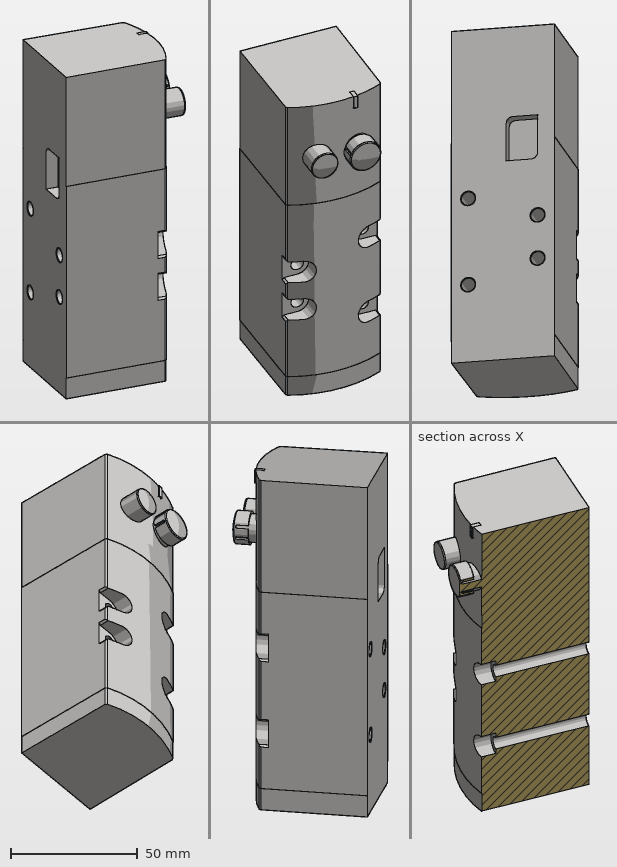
import cadquery as cq
import math

LENGTH = 138.0
WIDTH = 42.0
HALF_WIDTH = WIDTH / 2
CREST_Y = 48.0

SIDE_DRAFT = 0.33
SHOULDER_HALF_WIDTH = HALF_WIDTH - SIDE_DRAFT
SHOULDER_Y = 42.9
BEVEL_WIDTH = 0.5
BEVEL_HEIGHT = 0.8

END_INSET = 0.08
BOTTOM_JOINT_Z = 9.0
TOP_JOINT_Z = 91.2

HOLE_DIAMETER = 5.5
HOLE_RIM_CHAMFER = 0.3
HOLE_X = 14.1
HOLE_CENTRE_Z = 50.1
LEFT_HOLE_OFFSET = 18.0
RIGHT_HOLE_OFFSET = 9.0

NOTCH_FLOOR_Y = 39.9
NOTCH_WIDTH = 10.0
NOTCH_MOUTH_CHAMFER = 0.8

POCKET_LEFT = 1.4
POCKET_RIGHT = 14.1
POCKET_BOTTOM = 82.5
POCKET_TOP = 100.7
POCKET_DEPTH = 5.1
POCKET_RADIUS = 2.8

FITTING_X = 8.7
FITTING_Z = 113.6
FITTING_ROOT_Y = 41.4
STEM_RADIUS = 5.73

CAP_RADIUS = 6.69
CAP_BACK_Y = 49.1
CAP_EDGE_Y = 55.2
CAP_TOP_Y = 56.2
CAP_RIM_CHAMFER = 0.4

BUTTON_EDGE_Y = 54.1
BUTTON_RIM_Y = 54.6
BUTTON_RIM_RADIUS = 5.5
BUTTON_TOP_Y = 55.5

GROOVE_WIDTH = 1.2
GROOVE_END_Y = 54.2
GROOVE_ANGLE = 21.0
GROOVE_FLOOR_RADIUS = STEM_RADIUS - 0.3

INDICATOR_X = -7.7
INDICATOR_WIDTH = 1.8
INDICATOR_BOTTOM_Y = 43.9
INDICATOR_TOP_Y = 47.7
INDICATOR_LENGTH = 5.5


def block_section(inset, bottom_z, top_z):
    """One length of the crowned block, moved in by inset at the sides and crown."""
    base = HALF_WIDTH - inset
    side = SHOULDER_HALF_WIDTH - inset
    crown_side = side - BEVEL_WIDTH
    shoulder_y = SHOULDER_Y - inset
    crown_y = shoulder_y + BEVEL_HEIGHT
    return (
        cq.Workplane("XY", origin=(0, 0, bottom_z))
        .moveTo(-base, 0)
        .lineTo(base, 0)
        .lineTo(side, shoulder_y)
        .lineTo(crown_side, crown_y)
        .threePointArc((0, CREST_Y - inset), (-crown_side, crown_y))
        .lineTo(-side, shoulder_y)
        .close()
        .extrude(top_z - bottom_z)
    )


def along_y(x, z, radius, start_y, end_y):
    """Cylinder with its axis along Y."""
    axis = cq.Vector(0, 1, 0)
    return cq.Workplane(cq.Solid.makeCylinder(radius, end_y - start_y, cq.Vector(x, start_y, z), axis))


def screw_notch(side, z):
    """Round-ended slot from a hole out through the wall on the given side, chamfered at its mouth."""
    half_slot = NOTCH_WIDTH / 2
    half_mouth = half_slot + NOTCH_MOUTH_CHAMFER
    chamfer_x = SHOULDER_HALF_WIDTH - NOTCH_MOUTH_CHAMFER
    seat = along_y(side * HOLE_X, z, half_slot, NOTCH_FLOOR_Y, CREST_Y)
    mouth = (
        cq.Workplane("XZ", origin=(0, CREST_Y, 0))
        .polyline([
            (side * HOLE_X, z - half_slot),
            (side * chamfer_x, z - half_slot),
            (side * SHOULDER_HALF_WIDTH, z - half_mouth),
            (side * HALF_WIDTH, z - half_mouth),
            (side * HALF_WIDTH, z + half_mouth),
            (side * SHOULDER_HALF_WIDTH, z + half_mouth),
            (side * chamfer_x, z + half_slot),
            (side * HOLE_X, z + half_slot),
        ])
        .close()
        .extrude(CREST_Y - NOTCH_FLOOR_Y)
    )
    return seat.union(mouth)


def mounting_hole(x, z):
    """Through hole with a small chamfer at the front face."""
    radius = HOLE_DIAMETER / 2
    rim_radius = radius + HOLE_RIM_CHAMFER
    rim = cq.Solid.makeCone(
        rim_radius, radius, HOLE_RIM_CHAMFER, cq.Vector(x, 0, z), cq.Vector(0, 1, 0)
    )
    return along_y(x, z, radius, 0, CREST_Y).union(cq.Workplane(rim))


def front_pocket():
    """Pocket rounded at its top-left and bottom-right corners."""
    arc_mid = POCKET_RADIUS * (1 - math.sqrt(0.5))
    return (
        cq.Workplane("XZ")
        .moveTo(POCKET_LEFT, POCKET_BOTTOM)
        .lineTo(POCKET_RIGHT - POCKET_RADIUS, POCKET_BOTTOM)
        .threePointArc(
            (POCKET_RIGHT - arc_mid, POCKET_BOTTOM + arc_mid),
            (POCKET_RIGHT, POCKET_BOTTOM + POCKET_RADIUS),
        )
        .lineTo(POCKET_RIGHT, POCKET_TOP)
        .lineTo(POCKET_LEFT + POCKET_RADIUS, POCKET_TOP)
        .threePointArc(
            (POCKET_LEFT + arc_mid, POCKET_TOP - arc_mid),
            (POCKET_LEFT, POCKET_TOP - POCKET_RADIUS),
        )
        .close()
        .extrude(-POCKET_DEPTH)
    )


def domed_disc(x, start_y, radius, edge_y, rim_radius, rim_y, top_y):
    """Disc along Y with a bevelled rim and a shallow domed end."""
    dome_drop = top_y - rim_y
    sphere_radius = (rim_radius ** 2 + dome_drop ** 2) / (2 * dome_drop)
    mid_radius = rim_radius / 2
    mid_y = top_y - sphere_radius + math.sqrt(sphere_radius ** 2 - mid_radius ** 2)
    return (
        cq.Workplane("XY", origin=(x, 0, FITTING_Z))
        .moveTo(0, start_y)
        .lineTo(radius, start_y)
        .lineTo(radius, edge_y)
        .lineTo(rim_radius, rim_y)
        .threePointArc((mid_radius, mid_y), (0, top_y))
        .close()
        .revolve(360, (0, 0, 0), (0, 1, 0))
    )


def cap_groove(angle):
    """Cutter for a groove open at the cap's back edge and rounded at its far end."""
    half_width = GROOVE_WIDTH / 2
    straight_end = GROOVE_END_Y - half_width
    cutter = (
        cq.Workplane("YZ", origin=(GROOVE_FLOOR_RADIUS, 0, 0))
        .moveTo(CAP_BACK_Y, -half_width)
        .lineTo(straight_end, -half_width)
        .threePointArc((GROOVE_END_Y, 0), (straight_end, half_width))
        .lineTo(CAP_BACK_Y, half_width)
        .close()
        .extrude(CAP_RADIUS)
    )
    turned = cutter.rotate((0, 0, 0), (0, 1, 0), angle)
    return turned.translate((-FITTING_X, 0, FITTING_Z))


def connector():
    """Grooved cap on a stem; the stem passes into the cap and forms the groove floors."""
    stem = along_y(-FITTING_X, FITTING_Z, STEM_RADIUS, FITTING_ROOT_Y, GROOVE_END_Y)
    cap = domed_disc(
        -FITTING_X,
        CAP_BACK_Y,
        CAP_RADIUS,
        CAP_EDGE_Y - CAP_RIM_CHAMFER,
        CAP_RADIUS - CAP_RIM_CHAMFER,
        CAP_EDGE_Y,
        CAP_TOP_Y,
    )
    for side_angle in (0, 180):
        for offset in (-GROOVE_ANGLE, GROOVE_ANGLE):
            cap = cap.cut(cap_groove(side_angle + offset))
    return stem.union(cap)


def button():
    """Plain round button beside the connector."""
    return domed_disc(
        FITTING_X,
        FITTING_ROOT_Y,
        STEM_RADIUS,
        BUTTON_EDGE_Y,
        BUTTON_RIM_RADIUS,
        BUTTON_RIM_Y,
        BUTTON_TOP_Y,
    )


def make_indicator():
    """Rectangular strip, flush with the top end and just proud of the crown."""
    return cq.Workplane("XY").box(
        INDICATOR_WIDTH,
        INDICATOR_TOP_Y - INDICATOR_BOTTOM_Y,
        INDICATOR_LENGTH,
        centered=(True, False, False),
    ).translate((INDICATOR_X, INDICATOR_BOTTOM_Y, LENGTH - INDICATOR_LENGTH))


def make_housing(indicator):
    """Valve block with its fittings, holes, notches, pocket and indicator recess."""
    body = block_section(0, BOTTOM_JOINT_Z, TOP_JOINT_Z)
    body = body.union(block_section(END_INSET, 0, BOTTOM_JOINT_Z))
    body = body.union(block_section(END_INSET, TOP_JOINT_Z, LENGTH))
    body = body.union(connector()).union(button())
    for side, offset in ((-1, LEFT_HOLE_OFFSET), (1, RIGHT_HOLE_OFFSET)):
        for z in (HOLE_CENTRE_Z - offset, HOLE_CENTRE_Z + offset):
            body = body.cut(mounting_hole(side * HOLE_X, z))
            body = body.cut(screw_notch(side, z))
    return body.cut(front_pocket()).cut(indicator)


indicator = make_indicator()
housing = make_housing(indicator)

result = cq.Compound.makeCompound([housing.val(), indicator.val()])